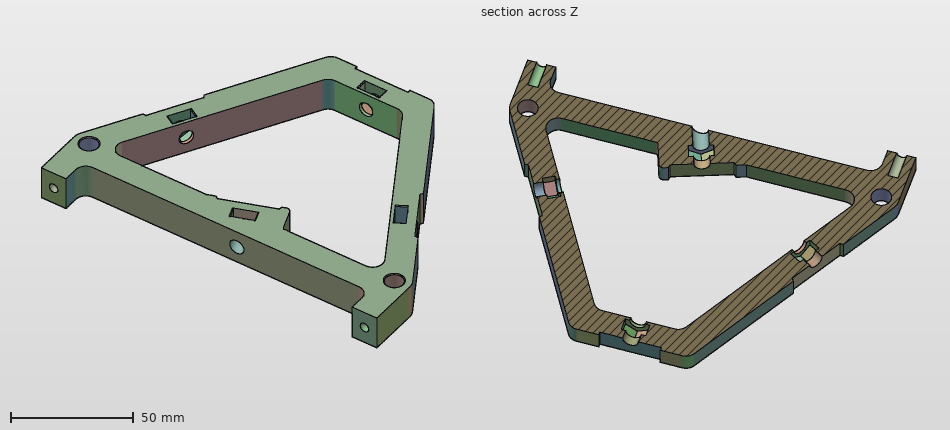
import cadquery as cq
import math

width = 165.78
depth = 125.0
thickness = 16.0
mid_height = thickness / 2
bar_width = 12.4
arm_angle = 60.0
top_half_width = 25.4
corner_radius = 5.0
top_corner_radius = 5.0
knee_radius = 7.5

leg_width = 12.2
leg_length = 12.0
beam_top = leg_length + bar_width
leg_hole_diameter = 4.2
leg_hole_depth = 12.0
post_hole_diameter = 8.2
post_hole_chamfer = 0.4
post_hole_x = 75.4
post_hole_y = 23.4

seat_depth = 1.4
seat_length = 26.0
top_seat_length = 26.2
seat_wall_flare = 30.0
bolt_hole_diameter = 6.6
bolt_hole_reach = 20.0
nut_flats = 10.3
nut_lead_in = 0.4
nut_slot_width = 5.3
nut_offset = 6.8
arm_seat_y = 62.4

pad_angle = 20.0
pad_seat_x = -0.8
pad_seat_y = 29.25
pad_rim = 4.6
pad_tip_radius = 2.0
pad_root_radius = 1.0

arm_slope = math.tan(math.radians(arm_angle))
half_width = width / 2
knee_y = depth - (half_width - top_half_width) * arm_slope


def arm_x(y, inset=0.0):
    """Half width of the arm line at height y, moved inward by inset."""
    return top_half_width + (depth - y) / arm_slope - inset / math.sin(math.radians(arm_angle))


def near(x, y):
    """Selector for the vertical edge at (x, y)."""
    return cq.selectors.NearestToPointSelector((x, y, mid_height))


def round_corners(body, half_x, y, radius):
    """Round a mirrored pair of vertical edges."""
    for side in (-1, 1):
        body = body.edges("|Z").edges(near(side * half_x, y)).fillet(radius)
    return body


def prism(points):
    return cq.Workplane("XY").polyline(points).close().extrude(thickness)


def make_outer():
    leg_inner_x = half_width - leg_width
    right = [
        (leg_inner_x, leg_length),
        (leg_inner_x, 0),
        (half_width, 0),
        (half_width, knee_y),
        (top_half_width, depth),
    ]
    left = [(-x, y) for x, y in reversed(right)]
    body = prism(right + left)
    body = round_corners(body, leg_inner_x, leg_length, corner_radius)
    body = round_corners(body, half_width, knee_y, knee_radius)
    return round_corners(body, top_half_width, depth, top_corner_radius)


def make_window():
    top = depth - bar_width
    low_x = arm_x(beam_top, bar_width)
    high_x = arm_x(top, bar_width)
    window = prism([(-low_x, beam_top), (low_x, beam_top), (high_x, top), (-high_x, top)])
    return window.edges("|Z").fillet(corner_radius)


def place(body, x, y, angle):
    """Move a body whose seat floor centre is the origin; its outward side is +Y."""
    return body.rotate((0, 0, 0), (0, 0, 1), angle).translate((x, y, 0))


def make_seat_recess(length, flare):
    half = length / 2
    spread = seat_depth * math.tan(math.radians(flare))
    return prism([
        (-half, 0),
        (half, 0),
        (half + spread, seat_depth),
        (-half - spread, seat_depth),
    ])


def make_bolt_hole():
    return (
        cq.Workplane("XZ", origin=(0, bolt_hole_reach - nut_offset, mid_height))
        .circle(bolt_hole_diameter / 2)
        .extrude(2 * bolt_hole_reach)
    )


def make_nut_slot():
    """Slot open at the top face, closed below by the lower half of a hexagon."""
    flat_half = nut_flats / 2
    corner_drop = flat_half / math.sqrt(3)
    lead_in_z = mid_height - nut_lead_in
    return (
        cq.Workplane("XZ", origin=(0, nut_slot_width / 2 - nut_offset, mid_height))
        .moveTo(0, -2 * corner_drop)
        .lineTo(flat_half, -corner_drop)
        .lineTo(flat_half, lead_in_z)
        .lineTo(flat_half + nut_lead_in, mid_height)
        .lineTo(-flat_half - nut_lead_in, mid_height)
        .lineTo(-flat_half, lead_in_z)
        .lineTo(-flat_half, -corner_drop)
        .close()
        .extrude(nut_slot_width)
    )


def make_seat_cut(length, flare):
    """Seat recess, bolt hole and nut slot, with the seat floor on y = 0."""
    return make_seat_recess(length, flare).union(make_bolt_hole()).union(make_nut_slot())


def add_pad(body):
    """Add the slanted wedge on the cross beam, up to the pad's outer face."""
    tilt = math.radians(pad_angle)
    reach = seat_length / 2 + pad_rim
    tip_x = pad_seat_x + reach * math.cos(tilt) - seat_depth * math.sin(tilt)
    tip_y = pad_seat_y + reach * math.sin(tilt) + seat_depth * math.cos(tilt)
    rise = tip_y - beam_top
    start_x = tip_x - rise / math.tan(tilt)
    end_x = tip_x + rise * math.tan(tilt)
    pad = prism([(start_x, beam_top), (end_x, beam_top), (tip_x, tip_y)])
    pad = pad.edges("|Z").edges(near(tip_x, tip_y)).fillet(pad_tip_radius)
    body = body.union(pad)
    return body.edges("|Z").edges(near(end_x, beam_top)).fillet(pad_root_radius)


def cut_seats(body):
    arm_seat_x = arm_x(arm_seat_y, seat_depth)
    body = body.cut(place(make_seat_cut(top_seat_length, 0), 0, depth - seat_depth, 0))
    for side in (-1, 1):
        arm_cut = make_seat_cut(seat_length, seat_wall_flare)
        body = body.cut(place(arm_cut, side * arm_seat_x, arm_seat_y, -side * arm_angle))
    pad_cut = make_seat_cut(seat_length, seat_wall_flare)
    return body.cut(place(pad_cut, pad_seat_x, pad_seat_y, pad_angle))


def rim(side):
    """Selector for the upper rim of one post hole."""
    return cq.selectors.NearestToPointSelector((side * post_hole_x, post_hole_y, thickness))


def drill_legs(body):
    for side in (-1, 1):
        post_hole = (
            cq.Workplane("XY", origin=(side * post_hole_x, post_hole_y, 0))
            .circle(post_hole_diameter / 2)
            .extrude(thickness)
        )
        leg_hole = (
            cq.Workplane("XZ", origin=(side * (half_width - leg_width / 2), leg_hole_depth, mid_height))
            .circle(leg_hole_diameter / 2)
            .extrude(leg_hole_depth)
        )
        body = body.cut(post_hole).cut(leg_hole)
        body = body.faces(">Z").edges("%CIRCLE").edges(rim(side)).chamfer(post_hole_chamfer)
    return body


frame = make_outer().cut(make_window())
frame = add_pad(frame)
frame = cut_seats(frame)
result = drill_legs(frame)